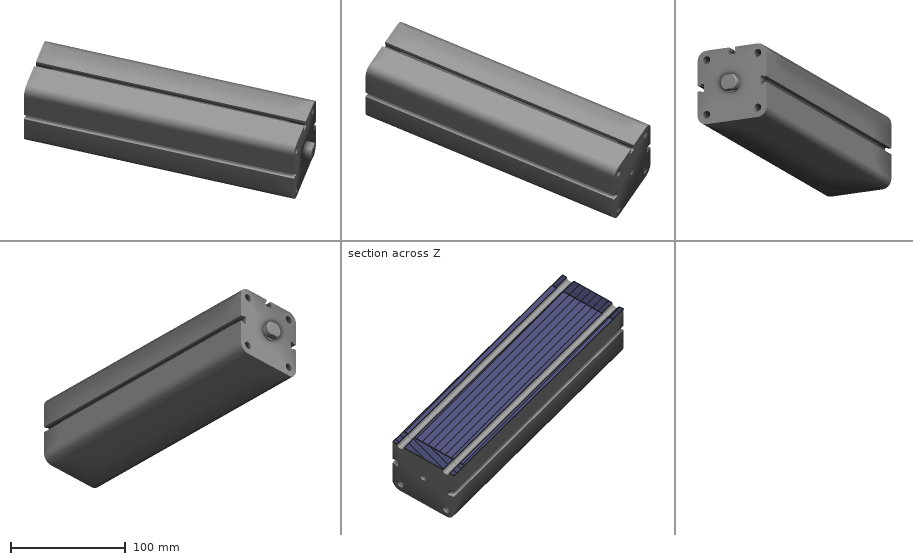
import cadquery as cq

TOTAL_LENGTH = 253.5
SIDE = 67.0
CORNER_RADIUS = 8.5

CAP_LENGTH = 15.0
ROD_PROJECTION = 7.5
BODY_LENGTH = TOTAL_LENGTH - ROD_PROJECTION
PROFILE_LENGTH = BODY_LENGTH - 2 * CAP_LENGTH
FRONT_CAP_START = CAP_LENGTH + PROFILE_LENGTH

SLOT_MOUTH_WIDTH = 5.3
SLOT_MOUTH_DEPTH = 2.8
SLOT_INNER_WIDTH = 7.0
PROFILE_SLOT_DEPTH = 5.3
CAP_SLOT_DEPTH = 6.3
SLOT_ANGLES = (-90, 0, 90)

BOLT_PITCH = 49.7
PROFILE_BOLT_HOLE_DIAMETER = 6.5
CAP_BOLT_HOLE_DIAMETER = 7.0
VENT_DIAMETER = 6.0
VENT_DEPTH = CAP_LENGTH

ROD_DIAMETER = 16.0
ROD_CHAMFER = 1.0
FLAT_SPACING = 13.0
FLAT_LENGTH = 6.3


def slot_cutter(depth, x_start, length):
    """T-shaped bar lying in the +Z side, open at the top."""
    top = SIDE / 2
    mouth = (
        cq.Workplane("XY")
        .box(length, SLOT_MOUTH_WIDTH, depth, centered=(False, True, False))
        .translate((x_start, 0, top - depth))
    )
    inner = (
        cq.Workplane("XY")
        .box(length, SLOT_INNER_WIDTH, depth - SLOT_MOUTH_DEPTH, centered=(False, True, False))
        .translate((x_start, 0, top - depth))
    )
    return mouth.union(inner)


def slotted_block(x_start, length, slot_depth, bolt_hole_diameter):
    """Rounded square block with three T-slots and four bolt holes running along X."""
    block = (
        cq.Workplane("YZ", origin=(x_start, 0, 0))
        .rect(SIDE, SIDE)
        .extrude(length)
        .edges("|X")
        .fillet(CORNER_RADIUS)
    )
    bolt_holes = (
        cq.Workplane("YZ", origin=(x_start, 0, 0))
        .rect(BOLT_PITCH, BOLT_PITCH, forConstruction=True)
        .vertices()
        .circle(bolt_hole_diameter / 2)
        .extrude(length)
    )
    block = block.cut(bolt_holes)
    cutter = slot_cutter(slot_depth, x_start, length)
    for angle in SLOT_ANGLES:
        block = block.cut(cutter.rotate((0, 0, 0), (1, 0, 0), angle))
    return block


def make_profile():
    """Extruded middle section between the two end caps."""
    return slotted_block(CAP_LENGTH, PROFILE_LENGTH, PROFILE_SLOT_DEPTH, PROFILE_BOLT_HOLE_DIAMETER)


def make_end_cap(x_start):
    """End cap without its central hole."""
    return slotted_block(x_start, CAP_LENGTH, CAP_SLOT_DEPTH, CAP_BOLT_HOLE_DIAMETER)


def make_rear_cap():
    """End cap at X = 0 with a round hole in the middle of its outer face."""
    vent = cq.Workplane("YZ").circle(VENT_DIAMETER / 2).extrude(VENT_DEPTH)
    return make_end_cap(0).cut(vent)


def make_front_cap():
    """End cap with a bore in which the piston rod sits."""
    bore = cq.Workplane("YZ", origin=(FRONT_CAP_START, 0, 0)).circle(ROD_DIAMETER / 2).extrude(CAP_LENGTH)
    return make_end_cap(FRONT_CAP_START).cut(bore)


def make_rod():
    """Piston rod seated on the profile, with two wrench flats and a chamfered tip."""
    rod = (
        cq.Workplane("YZ", origin=(FRONT_CAP_START, 0, 0))
        .circle(ROD_DIAMETER / 2)
        .extrude(CAP_LENGTH + ROD_PROJECTION)
        .faces(">X")
        .chamfer(ROD_CHAMFER)
    )
    for side in (-1, 1):
        flat = (
            cq.Workplane("XY")
            .box(FLAT_LENGTH, ROD_DIAMETER, ROD_DIAMETER)
            .translate((TOTAL_LENGTH - FLAT_LENGTH / 2, 0, side * (FLAT_SPACING + ROD_DIAMETER) / 2))
        )
        rod = rod.cut(flat)
    return rod


profile = make_profile()
rear_cap = make_rear_cap()
front_cap = make_front_cap()
rod = make_rod()

result = cq.Compound.makeCompound([profile.val(), rear_cap.val(), front_cap.val(), rod.val()])